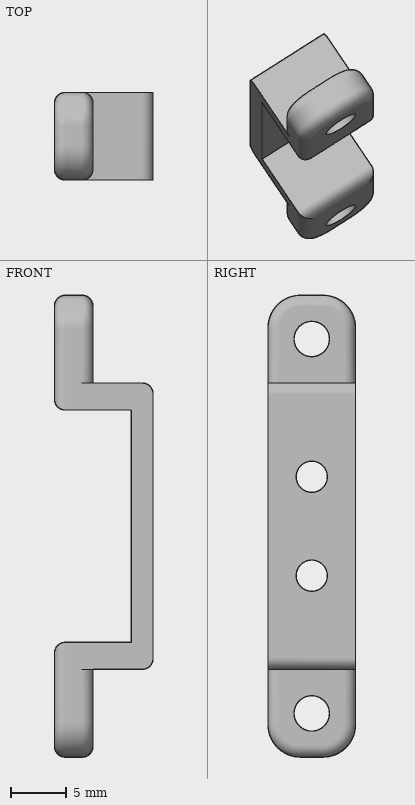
import cadquery as cq

height = 42.0
width = 8.0
depth = 9.0

tab_thickness = 3.53
tab_length = 8.0
web_thickness = 2.48
wall_thickness = 2.0

tab_corner_radius = 3.0
edge_radius = 1.0

tab_hole_diameter = 3.2
tab_hole_inset = 4.0
wall_hole_diameter = 2.8
wall_hole_spacing = 9.0

half_height = height / 2
web_outer_z = half_height - tab_length
web_inner_z = web_outer_z - web_thickness


def block(x_start, x_end, z_start, z_end):
    """Full-width box between two X and two Z positions, centred on Y."""
    return (
        cq.Workplane("XY")
        .box(x_end - x_start, width, z_end - z_start, centered=(False, True, False))
        .translate((x_start, 0, z_start))
    )


def upper_tab():
    """Mounting tab reaching down to the inner web face, with rounded rims."""
    tab = block(0, tab_thickness, web_inner_z, half_height)
    tab = tab.edges("|X and >Z").fillet(tab_corner_radius)
    tab = tab.faces("<X").edges().fillet(edge_radius)
    return tab.faces(">X").edges("not <Z").fillet(edge_radius)


def upper_web():
    """Web joining the tab to the back wall, set behind the tab's front rim."""
    return block(edge_radius, depth, web_inner_z, web_outer_z)


def x_hole(diameter, z):
    """Cutter for a through hole along X."""
    return cq.Workplane("YZ").center(0, z).circle(diameter / 2).extrude(depth)


body = block(depth - wall_thickness, depth, -web_outer_z, web_outer_z)
upper_arm = upper_tab().union(upper_web())
body = body.union(upper_arm).union(upper_arm.mirror("XY")).clean()

body = body.faces(">X").edges("|Y").fillet(edge_radius)

for side in (-1, 1):
    body = body.cut(x_hole(tab_hole_diameter, side * (half_height - tab_hole_inset)))
    body = body.cut(x_hole(wall_hole_diameter, side * wall_hole_spacing / 2))

result = body